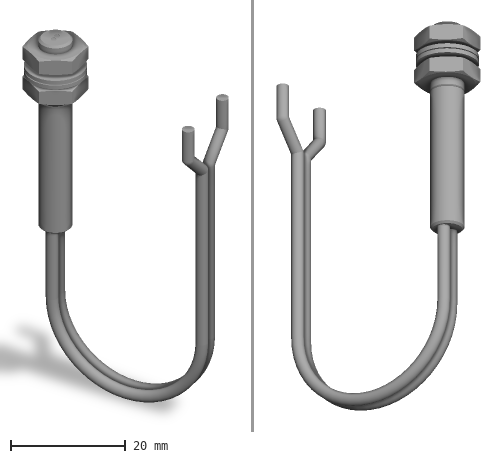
import cadquery as cq
import math

TOTAL_HEIGHT = 68.6

HEAD_DIA = 6.0
CHAMFERED_DIA = 5.2
END_CHAMFER = (HEAD_DIA - CHAMFERED_DIA) / 2
THREAD_LENGTH = 12.5
HEAD_LENGTH = 38.55
THREAD_BOTTOM_Z = TOTAL_HEIGHT - THREAD_LENGTH
HEAD_BOTTOM_Z = TOTAL_HEIGHT - HEAD_LENGTH

CORE_DIA = 1.0
CORE_SPACING = 1.25
CORE_RECESS = 0.1

CABLE_DIA = 2.2
CABLE_SPACING = 2.4
BEND_RADIUS = 15.0
BEND_START_Z = BEND_RADIUS + CABLE_DIA / 2
FAR_LEG_X = 2 * BEND_RADIUS

OVERALL_WIDTH_Y = 14.2
FORK_SPACING = OVERALL_WIDTH_Y - CABLE_DIA
FORK_SPREAD = (FORK_SPACING - CABLE_SPACING) / 2
CABLE_END_DEPTH = 6.25
CABLE_END_Z = TOTAL_HEIGHT - CABLE_END_DEPTH
UPRIGHT_END_LENGTH = 6.2
FORK_UPPER_Z = CABLE_END_Z - UPRIGHT_END_LENGTH
FORK_LOWER_Z = FORK_UPPER_Z - FORK_SPREAD

NUT_ACROSS_FLATS = 10.0
NUT_ACROSS_CORNERS = NUT_ACROSS_FLATS / math.cos(math.pi / 6)
NUT_HEIGHT = 3.0
NUT_FACE_DIA = 9.75
NUT_CORNER_DROP = 0.3
UPPER_NUT_DEPTH = 1.6
UPPER_NUT_TOP_Z = TOTAL_HEIGHT - UPPER_NUT_DEPTH
NUT_PITCH = 6.2
NUT_COUNT = 2

WASHER_DIA = 11.0
WASHER_THICKNESS = 0.75
WASHER_GAP = 0.2
WASHER_COUNT = 2
WASHER_PITCH = WASHER_THICKNESS + WASHER_GAP
UPPER_WASHER_DEPTH = 5.5
UPPER_WASHER_TOP_Z = TOTAL_HEIGHT - UPPER_WASHER_DEPTH


def cylinder(diameter, bottom_z, height, x=0.0, y=0.0):
    """Upright cylinder with its lower face at bottom_z."""
    return cq.Workplane("XY", origin=(x, y, bottom_z)).circle(diameter / 2).extrude(height)


def make_head():
    """Sleeve with a chamfered threaded length on top and fibre ends in its upper face."""
    thread = cylinder(HEAD_DIA, THREAD_BOTTOM_Z, THREAD_LENGTH).edges("%CIRCLE").chamfer(END_CHAMFER)
    sleeve = cylinder(HEAD_DIA, HEAD_BOTTOM_Z, HEAD_LENGTH - THREAD_LENGTH)
    sleeve = sleeve.faces("<Z").edges().chamfer(END_CHAMFER)
    head = thread.union(sleeve)
    for side in (-1, 1):
        core_y = side * CORE_SPACING / 2
        head = head.cut(cylinder(CORE_DIA, TOTAL_HEIGHT - CORE_RECESS, CORE_RECESS, y=core_y))
    return head


def make_cable(side):
    """U-bent cable whose free end spreads towards +Y (side = 1) or -Y (side = -1)."""
    near_y = side * CABLE_SPACING / 2
    far_y = side * FORK_SPACING / 2
    near_leg_and_bend = (
        cq.Workplane("XZ", origin=(0, near_y, 0))
        .moveTo(0, HEAD_BOTTOM_Z)
        .lineTo(0, BEND_START_Z)
        .threePointArc((BEND_RADIUS, CABLE_DIA / 2), (FAR_LEG_X, BEND_START_Z))
        .lineTo(FAR_LEG_X, FORK_LOWER_Z)
    )
    profile = cq.Workplane("XY", origin=(0, near_y, HEAD_BOTTOM_Z)).circle(CABLE_DIA / 2)
    cable = profile.sweep(near_leg_and_bend)

    spread_start = cq.Vector(FAR_LEG_X, near_y, FORK_LOWER_Z)
    spread = cq.Vector(0, far_y - near_y, FORK_SPREAD)
    spread_leg = cq.Solid.makeCylinder(CABLE_DIA / 2, spread.Length, spread_start, spread)
    cable = cable.union(cq.Workplane(spread_leg))
    cable = cable.union(cylinder(CABLE_DIA, FORK_UPPER_Z, UPRIGHT_END_LENGTH, FAR_LEG_X, far_y))

    for corner_y, corner_z in ((near_y, FORK_LOWER_Z), (far_y, FORK_UPPER_Z)):
        ball = cq.Workplane("XY", origin=(FAR_LEG_X, corner_y, corner_z)).sphere(CABLE_DIA / 2)
        cable = cable.union(ball)
    return cable


def make_sensor():
    """Head and both of its cables as one solid."""
    sensor = make_head()
    for side in (-1, 1):
        sensor = sensor.union(make_cable(side))
    return sensor


def make_nut(top_z):
    """Hexagon nut with corners on the Y axis, cone-chamfered on both faces."""
    bottom_z = top_z - NUT_HEIGHT
    hexagon = (
        cq.Workplane("XY", origin=(0, 0, bottom_z))
        .transformed(rotate=(0, 0, 90))
        .polygon(6, NUT_ACROSS_CORNERS)
        .extrude(NUT_HEIGHT)
    )
    face_radius = NUT_FACE_DIA / 2
    corner_radius = NUT_ACROSS_CORNERS / 2
    turned_blank = (
        cq.Workplane("XZ")
        .moveTo(0, bottom_z)
        .lineTo(face_radius, bottom_z)
        .lineTo(corner_radius, bottom_z + NUT_CORNER_DROP)
        .lineTo(corner_radius, top_z - NUT_CORNER_DROP)
        .lineTo(face_radius, top_z)
        .lineTo(0, top_z)
        .close()
        .revolve(360, (0, 0, 0), (0, 1, 0))
    )
    return hexagon.intersect(turned_blank).cut(cylinder(HEAD_DIA, bottom_z, NUT_HEIGHT))


def make_washer(top_z):
    """Flat ring fitting the threaded sleeve."""
    bottom_z = top_z - WASHER_THICKNESS
    washer = cylinder(WASHER_DIA, bottom_z, WASHER_THICKNESS)
    return washer.cut(cylinder(HEAD_DIA, bottom_z, WASHER_THICKNESS))


sensor = make_sensor()
nuts = [make_nut(UPPER_NUT_TOP_Z - i * NUT_PITCH) for i in range(NUT_COUNT)]
washers = [make_washer(UPPER_WASHER_TOP_Z - i * WASHER_PITCH) for i in range(WASHER_COUNT)]

bodies = [sensor, *nuts, *washers]
result = cq.Compound.makeCompound([body.solids().val() for body in bodies])